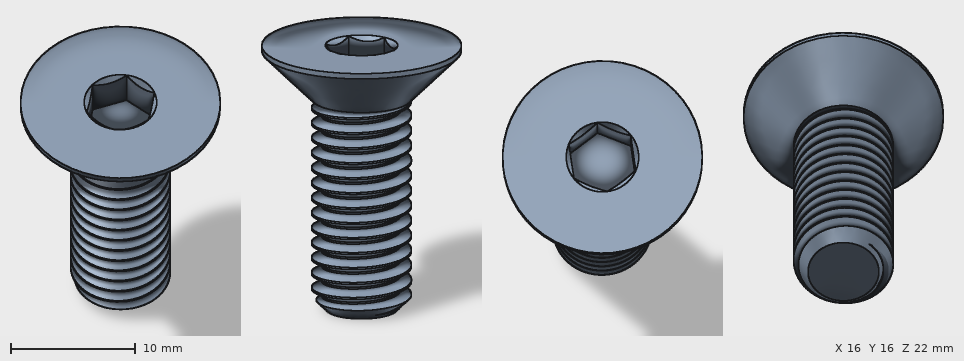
import cadquery as cq
import math

length = 22.0
head_dia = 16.0
head_radius = head_dia / 2
shank_radius = head_radius / 2
rim_height = 0.45
head_base_z = length - rim_height - (head_radius - shank_radius)

hex_flats = 5.0
hex_corners = hex_flats / math.cos(math.pi / 6)
socket_depth = 3.05
socket_mouth_radius = 2.9

tip_radius = 2.84
tip_chamfer = shank_radius - tip_radius

counted_turns = 12
counted_turns_length = 15.0
pitch = counted_turns_length / counted_turns
crest_flat = pitch / 8
root_flat = pitch / 8
flank_slope = math.tan(math.radians(30))
thread_depth = (pitch - crest_flat - root_flat) / 2 / flank_slope
first_groove_z = 0.37
lead_in_turns = 2
groove_overcut = 0.07


def make_socket_cutter():
    """Hexagonal prism with corners on +Y and -Y, plus a 45 degree lead-in cone."""
    prism = (
        cq.Workplane("XY")
        .workplane(offset=length - socket_depth)
        .polygon(6, hex_corners)
        .extrude(socket_depth)
        .rotate((0, 0, 0), (0, 0, 1), 30)
    )
    lead_in = (
        cq.Workplane("XZ")
        .moveTo(0, length)
        .lineTo(socket_mouth_radius, length)
        .lineTo(0, length - socket_mouth_radius)
        .close()
        .revolve(360, (0, 0, 0), (0, 1, 0))
    )
    return prism.union(lead_in)


def make_head():
    """Countersunk head with a thin cylindrical rim and a hexagon socket."""
    blank = (
        cq.Workplane("XZ")
        .moveTo(0, head_base_z)
        .lineTo(shank_radius, head_base_z)
        .lineTo(head_radius, length - rim_height)
        .lineTo(head_radius, length)
        .lineTo(0, length)
        .close()
        .revolve(360, (0, 0, 0), (0, 1, 0))
    )
    return blank.cut(make_socket_cutter())


def make_groove():
    """Helical V groove that runs out past both ends of the shank."""
    root_radius = shank_radius - thread_depth
    outer_radius = shank_radius + groove_overcut
    root_half = root_flat / 2
    outer_half = root_half + (outer_radius - root_radius) * flank_slope
    start_z = first_groove_z - lead_in_turns * pitch
    helix_height = head_base_z + pitch - start_z

    corners = [
        (root_radius, -root_half),
        (outer_radius, -outer_half),
        (outer_radius, outer_half),
        (root_radius, root_half),
    ]
    edges = []
    for radius, rise in corners:
        helix = cq.Wire.makeHelix(pitch, helix_height, radius)
        edges.append(helix.moved(cq.Location(cq.Vector(0, 0, start_z + rise))))

    faces = []
    for index, edge in enumerate(edges):
        faces += cq.Face.makeRuledSurface(edge, edges[(index + 1) % len(edges)]).Faces()
    for cap_points in ([e.startPoint() for e in edges], [e.endPoint() for e in edges]):
        faces.append(cq.Face.makeFromWires(cq.Wire.makePolygon(cap_points, close=True)))
    return cq.Solid.makeSolid(cq.Shell.makeShell(faces))


def make_shank():
    """Fully threaded shank with a chamfered tip, seated against the head."""
    blank = (
        cq.Workplane("XY")
        .circle(shank_radius)
        .extrude(head_base_z)
        .faces("<Z")
        .chamfer(tip_chamfer)
    )
    return blank.cut(cq.Workplane(make_groove()))


head = make_head()
shank = make_shank()

result = cq.Compound.makeCompound([head.val(), shank.val()])